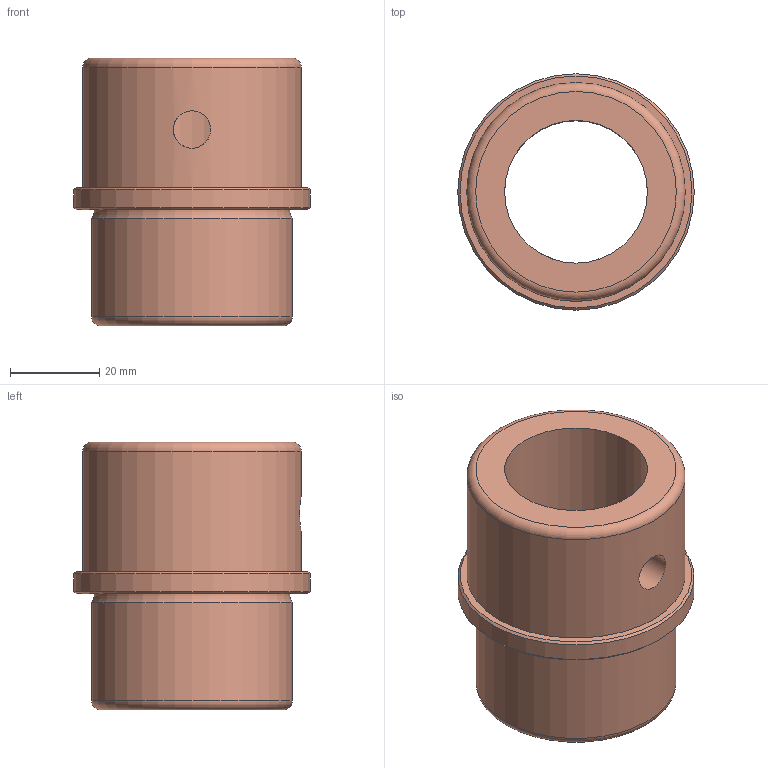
import cadquery as cq
import math

total_height = 60.0
flange_bottom = 26.0
flange_thickness = 5.0
flange_top = flange_bottom + flange_thickness

bore_diameter = 32.0
lower_diameter = 45.0
upper_diameter = 49.0
flange_diameter = 53.0

end_fillet = 2.0
flange_chamfer = 0.5

relief_height = 2.0
relief_arc_radius = 3.5
relief_depth = relief_arc_radius - math.sqrt(relief_arc_radius**2 - relief_height**2)

hole_diameter = 8.4
hole_height = 44.0


def cylinder(diameter, bottom, top):
    return cq.Workplane("XY").workplane(offset=bottom).circle(diameter / 2).extrude(top - bottom)


def lower_body():
    """Lower spigot with a rounded bottom rim."""
    spigot = cylinder(lower_diameter, 0, flange_bottom)
    return spigot.faces("<Z").edges().fillet(end_fillet)


def relief():
    """Ring cut from the spigot just below the flange, with a concave inner surface."""
    rim_radius = lower_diameter / 2
    root_radius = rim_radius - relief_depth
    return (
        cq.Workplane("XZ")
        .moveTo(root_radius, flange_bottom)
        .radiusArc((rim_radius, flange_bottom - relief_height), -relief_arc_radius)
        .lineTo(rim_radius, flange_bottom)
        .close()
        .revolve(360, (0, 0), (0, 1))
    )


def flange():
    """Locating collar with both rims chamfered."""
    collar = cylinder(flange_diameter, flange_bottom, flange_top)
    return collar.faces("<Z or >Z").edges().chamfer(flange_chamfer)


def upper_body():
    """Upper cylinder with a rounded top rim."""
    body = cylinder(upper_diameter, flange_top, total_height)
    return body.faces(">Z").edges().fillet(end_fillet)


def radial_hole():
    """Cutter running from the axis out through the -Y wall."""
    profile = cq.Workplane("XZ").center(0, hole_height).circle(hole_diameter / 2)
    return profile.extrude(flange_diameter / 2)


sleeve = lower_body().cut(relief()).union(flange()).union(upper_body())
bore = cylinder(bore_diameter, 0, total_height)
result = sleeve.cut(bore).cut(radial_hole())